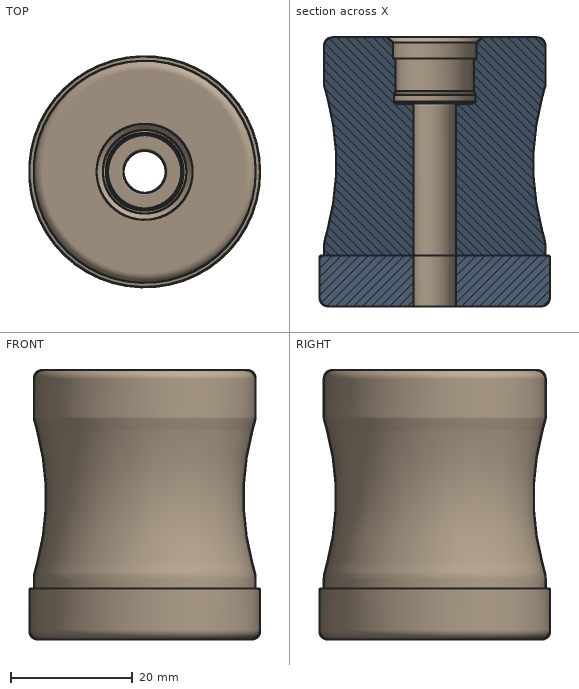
import cadquery as cq
import math

total_height = 44.45

base_diameter = 38.1
base_radius = base_diameter / 2
base_height = 8.45
base_bottom_fillet = 1.5
base_top_fillet = 0.35

handle_radius = 18.3
handle_top_fillet = 1.5
flank_angle = math.radians(15)
waist_half_height = 10.9
waist_middle_z = 23.5
waist_radius = 16.3
upper_blend_radius = 1.8
lower_blend_radius = 4.65

mouth_radius = 7.9
mouth_chamfer_depth = 0.9
counterbore_radius = 6.9
counterbore_depth = 3.5
bore_radius = 6.4
bore_depth = 8.95
undercut_radius = 6.7
undercut_depth = 9.55
undercut_wall_end = 10.65
floor_radius = 6.05
floor_depth = 11.0
through_radius = 3.45
through_rim_fillet = 0.45


def make_base():
    """Rounded disc under the handle, pierced by the through hole."""
    disc = cq.Workplane("XY").circle(base_radius).extrude(base_height)
    disc = disc.faces("<Z").edges().fillet(base_bottom_fillet)
    disc = disc.faces(">Z").edges().fillet(base_top_fillet)
    hole = cq.Workplane("XY").circle(through_radius).extrude(base_height)
    return disc.cut(hole)


def flank_blend(corner_z, away, blend_radius):
    """Start, middle and end of the arc that rounds a flank into a cylinder.

    away is +1 when the cylinder lies above the flank, -1 when below.
    """
    setback = blend_radius * math.tan(flank_angle / 2)
    centre_r = handle_radius - blend_radius
    centre_z = corner_z + away * setback

    def arc_point(angle):
        return (
            centre_r + blend_radius * math.cos(angle),
            centre_z - away * blend_radius * math.sin(angle),
        )

    return arc_point(flank_angle), arc_point(flank_angle / 2), arc_point(0)


def make_handle_body():
    """Waisted solid of revolution: foot, flank, concave waist, flank, head."""
    waist_arc_radius = waist_half_height / math.sin(flank_angle)
    waist_end_radius = waist_radius + waist_arc_radius * (1 - math.cos(flank_angle))
    flank_height = (handle_radius - waist_end_radius) / math.tan(flank_angle)
    waist_bottom_z = waist_middle_z - waist_half_height
    waist_top_z = waist_middle_z + waist_half_height

    low_flank, low_middle, low_wall = flank_blend(waist_bottom_z - flank_height, -1, lower_blend_radius)
    high_flank, high_middle, high_wall = flank_blend(waist_top_z + flank_height, 1, upper_blend_radius)

    body = (
        cq.Workplane("XZ")
        .moveTo(0, base_height)
        .lineTo(handle_radius, base_height)
        .lineTo(*low_wall)
        .threePointArc(low_middle, low_flank)
        .lineTo(waist_end_radius, waist_bottom_z)
        .threePointArc((waist_radius, waist_middle_z), (waist_end_radius, waist_top_z))
        .lineTo(*high_flank)
        .threePointArc(high_middle, high_wall)
        .lineTo(handle_radius, total_height)
        .lineTo(0, total_height)
        .close()
        .revolve(360, (0, 0, 0), (0, 1, 0))
    )
    return body.faces(">Z").edges().fillet(handle_top_fillet)


def make_bore():
    """Chamfered, stepped bore with a relief groove and a round-edged through hole."""
    floor_z = total_height - floor_depth
    rim_offset = through_rim_fillet * (1 - math.sqrt(0.5))
    return (
        cq.Workplane("XZ")
        .moveTo(0, total_height)
        .lineTo(mouth_radius, total_height)
        .lineTo(counterbore_radius, total_height - mouth_chamfer_depth)
        .lineTo(counterbore_radius, total_height - counterbore_depth)
        .lineTo(bore_radius, total_height - counterbore_depth)
        .lineTo(bore_radius, total_height - bore_depth)
        .lineTo(undercut_radius, total_height - undercut_depth)
        .lineTo(undercut_radius, total_height - undercut_wall_end)
        .lineTo(floor_radius, floor_z)
        .lineTo(through_radius + through_rim_fillet, floor_z)
        .threePointArc(
            (through_radius + rim_offset, floor_z - rim_offset),
            (through_radius, floor_z - through_rim_fillet),
        )
        .lineTo(through_radius, base_height)
        .lineTo(0, base_height)
        .close()
        .revolve(360, (0, 0, 0), (0, 1, 0))
    )


base = make_base()
handle = make_handle_body().cut(make_bore())

result = cq.Compound.makeCompound([base.val(), handle.val()])